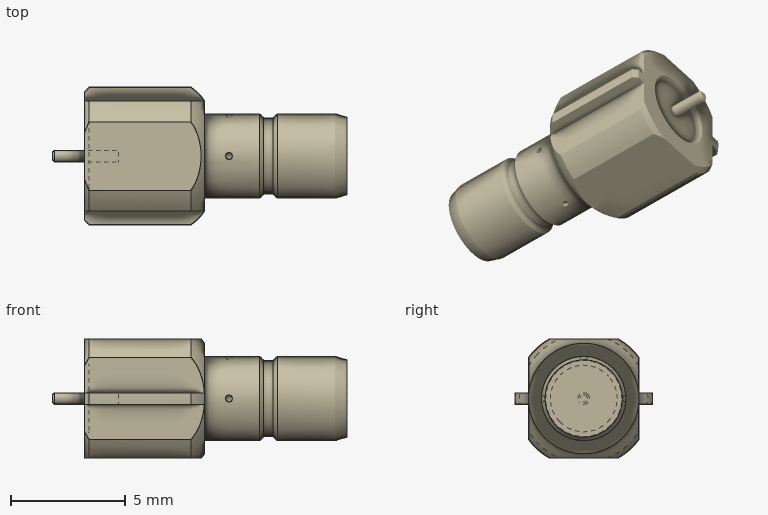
import cadquery as cq
import math

total_length = 12.85
collar_start = 1.4
collar_end = 6.63
dimple_x = 7.7
groove_start = 9.03
groove_end = 9.8

collar_diameter = 6.0
collar_height = 5.2
collar_width = 4.8
lug_height = 0.5
front_chamfer = 0.2
shoulder_size = 0.59
shoulder_bulge = 0.04

barrel_diameter = 3.68
groove_diameter = 3.32
nose_length = 0.53
nose_drop = 0.15
dimple_diameter = 0.3
dimple_count = 4

recess_diameter = 3.32
recess_floor_diameter = 2.9
recess_depth = 0.2

pin_diameter = 0.5
pin_tip_chamfer = 0.09
pin_seat_depth = 1.28

collar_length = collar_end - collar_start
pin_length = collar_start + recess_depth + pin_seat_depth
barrel_radius = barrel_diameter / 2
groove_radius = groove_diameter / 2
groove_flank = barrel_radius - groove_radius


def rod(diameter, start, length):
    """Cylinder on the X axis."""
    return cq.Workplane("YZ").workplane(offset=start).circle(diameter / 2).extrude(length)


def make_collar():
    """Turned blank cut by flats; the cross-shaped envelope leaves the two side lugs."""
    radius = collar_diameter / 2
    shoulder_start = collar_end - shoulder_size
    bulge = shoulder_bulge * math.sqrt(0.5)
    shoulder_middle = (
        collar_end - shoulder_size / 2 + bulge,
        radius - shoulder_size / 2 + bulge,
    )
    blank = (
        cq.Workplane("XY")
        .moveTo(collar_start, 0)
        .lineTo(collar_start, radius - front_chamfer)
        .lineTo(collar_start + front_chamfer, radius)
        .lineTo(shoulder_start, radius)
        .threePointArc(shoulder_middle, (collar_end, radius - shoulder_size))
        .lineTo(collar_end, 0)
        .close()
        .revolve(360, (0, 0, 0), (1, 0, 0))
    )
    face_plane = cq.Workplane("YZ").workplane(offset=collar_start)
    block = face_plane.rect(collar_width, collar_height).extrude(collar_length)
    lugs = face_plane.rect(collar_diameter, lug_height).extrude(collar_length)
    return blank.intersect(block.union(lugs))


def make_barrel():
    """Barrel turned about the X axis, with a V-flanked groove and a tapered nose."""
    return (
        cq.Workplane("XY")
        .moveTo(collar_end, 0)
        .lineTo(collar_end, barrel_radius)
        .lineTo(groove_start, barrel_radius)
        .lineTo(groove_start + groove_flank, groove_radius)
        .lineTo(groove_end - groove_flank, groove_radius)
        .lineTo(groove_end, barrel_radius)
        .lineTo(total_length - nose_length, barrel_radius)
        .lineTo(total_length, barrel_radius - nose_drop)
        .lineTo(total_length, 0)
        .close()
        .revolve(360, (0, 0, 0), (1, 0, 0))
    )


def make_recess():
    return (
        cq.Workplane("YZ")
        .workplane(offset=collar_start)
        .circle(recess_diameter / 2)
        .workplane(offset=recess_depth)
        .circle(recess_floor_diameter / 2)
        .loft()
    )


def make_dimple(angle):
    """Ball centred on the barrel surface, turned about the X axis."""
    return (
        cq.Workplane("XY")
        .sphere(dimple_diameter / 2)
        .translate((dimple_x, 0, barrel_radius))
        .rotate((0, 0, 0), (1, 0, 0), angle)
    )


def make_pin():
    return rod(pin_diameter, 0, pin_length).faces("<X").chamfer(pin_tip_chamfer)


def make_housing():
    body = make_collar().union(make_barrel()).cut(make_recess())
    for index in range(dimple_count):
        body = body.cut(make_dimple(index * 360 / dimple_count))
    pin_seat = rod(pin_diameter, collar_start + recess_depth, pin_seat_depth)
    return body.cut(pin_seat)


housing = make_housing()
pin = make_pin()
result = cq.Compound.makeCompound([housing.val(), pin.val()])